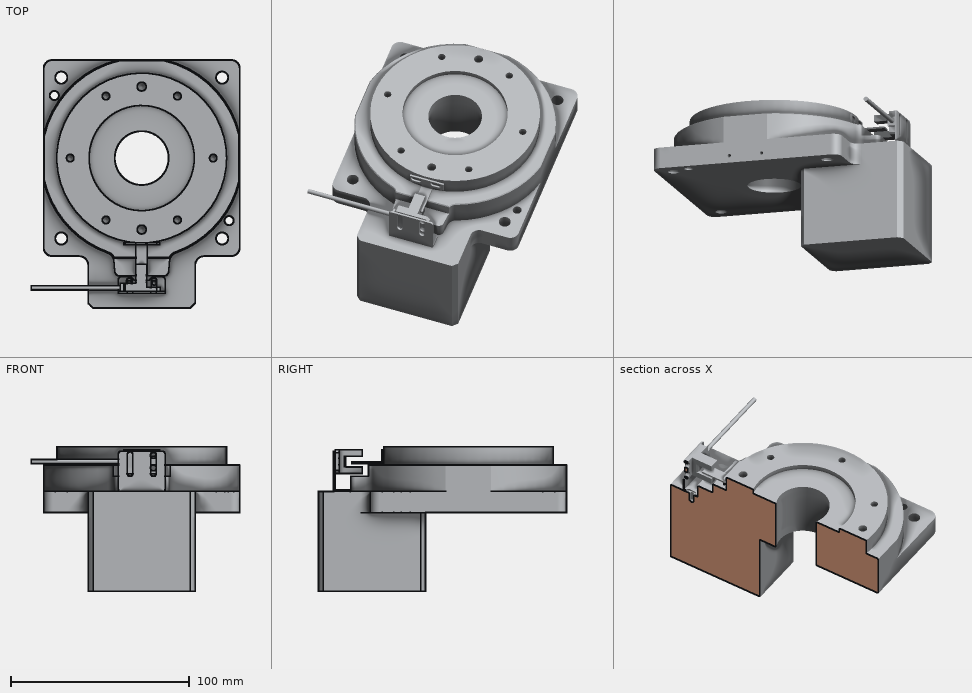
import cadquery as cq
import math


overall_x = 116.9
overall_y = 139.0

base_side = 110.0
base_height = 12.0
base_corner_radius = 5.0
neck_radius = 5.0

motor_side = 60.0
motor_front_y = base_side / 2 - overall_y
motor_depth = 44.0
motor_chamfer = 2.8

housing_radius = 56.5
housing_top = 27.0
housing_front_y = -56.0
housing_edge_chamfer = 0.5

nose_half_width = 15.5
nose_tip_half_width = 14.9
nose_front_y = -66.0
nose_top = 20.5
nose_root_radius = 5.0
nose_corner_radius = 2.8

table_radius = 47.5
table_top = 37.0
recess_diameter = 59.0
recess_depth = 3.0
bore_diameter = 30.0

mount_hole_diameter = 6.7
mount_hole_offset = 45.0
locating_hole_diameter = 5.0
locating_hole_x = 48.9
locating_hole_y = 35.0

table_hole_circle_radius = 40.0
table_hole_depth = 10.0
table_tap_diameter = 4.2
table_tap_angles = (0, 60, 120, 180, 240, 300)
table_dowel_diameter = 5.0
table_dowel_angles = (90, 270)

side_hole_diameter = 2.0
side_hole_depth = 4.2
side_hole_offset = 9.5
side_hole_z = 4.0

bracket_tap_diameter = 2.5
bracket_tap_depth = 5.5
bracket_tap_x = 7.0
bracket_tap_y = -69.9

drill_tip_angle = 118

sheet = 1.0
flag_width = 20.0
flag_top = 35.3
flag_wing_bottom = 30.0
flag_bottom = 27.4
flag_tongue_width = 6.4
flag_tip_y = -65.3
flag_bend_inner_radius = 0.4
flag_slot_length = 6.1
flag_slot_width = 2.9
flag_slot_z = 33.1
flag_slot_xs = (-6.3, 5.3)

bracket_width = 26.1
bracket_front_y = -75.6
bracket_back_y = -66.5
bracket_top = 34.5
bracket_corner_radius = 1.7
bracket_bend_radius = 0.4
foot_slot_width = 3.2
foot_slot_back_y = -67.3
foot_slot_length = 6.4
foot_notch_depth = 2.0
foot_notch_half_width = 6.1
wall_slot_offset = 6.5
wall_slot_width = 3.2
wall_slot_length = 13.6
wall_slot_top = 34.0

sensor_top = 35.3
sensor_bottom = 21.8
sensor_mid_z = (sensor_bottom + sensor_top) / 2
sensor_back_y = bracket_front_y + sheet
sensor_left_x = -10.1
sensor_right_x = 10.3
sensor_left_depth = 4.5
sensor_right_depth = 2.2
sensor_left_chamfer = 1.0
sensor_right_chamfer = 1.8
arm_left_x = -3.2
arm_right_x = 2.8
arm_tip_y = -59.4
arm_thickness = 3.8
gap_floor_y = -68.7
gap_floor_chamfer = 1.0
wing_hole_diameter = 3.3
wing_hole_spacing = 7.0
boss_left_x = -12.1
boss_bottom = 26.0
boss_top = 31.0
cable_diameter = 2.5
cable_end_x = base_side / 2 - overall_x
cable_y = -72.7
cable_z = 28.6


def box(x0, x1, y0, y1, z0, z1):
    """Box between two corners."""
    return cq.Workplane("XY").box(x1 - x0, y1 - y0, z1 - z0, centered=False).translate((x0, y0, z0))


def drilled_hole(diameter, depth):
    """Drilled blind hole along -Z from the origin, with a conical tip."""
    radius = diameter / 2
    tip = radius / math.tan(math.radians(drill_tip_angle / 2))
    profile = [(0, 0), (radius, 0), (radius, -depth), (0, -depth - tip)]
    return cq.Workplane("XZ").polyline(profile).close().revolve(360, (0, 0), (0, 1))


def make_base():
    half = base_side / 2
    plate = box(-half, half, -half, half, 0, base_height).edges("|Z").fillet(base_corner_radius)
    half = motor_side / 2
    motor = box(-half, half, motor_front_y, motor_front_y + motor_side, -motor_depth, base_height)
    motor = motor.edges("|Z").chamfer(motor_chamfer)
    base = plate.union(motor)
    for side in (-1, 1):
        base = base.union(neck_fillet(side))
    return base


def neck_fillet(side):
    """Concave fillet in the corner between the base edge and the motor."""
    x = side * motor_side / 2
    y = -base_side / 2
    outer_x = x + side * neck_radius
    corner = box(min(x, outer_x), max(x, outer_x), y - neck_radius, y, 0, base_height)
    relief = (
        cq.Workplane("XY").center(outer_x, y - neck_radius).circle(neck_radius).extrude(base_height)
    )
    return corner.cut(relief)


def make_housing():
    """Round housing trimmed to the base sides, with a lower nose towards the motor."""
    height = housing_top - base_height
    root_x = nose_half_width + nose_root_radius
    root_y = -math.sqrt((housing_radius + nose_root_radius) ** 2 - root_x**2)
    on_circle = housing_radius / (housing_radius + nose_root_radius)
    blend_x = root_x * on_circle
    blend_y = root_y * on_circle
    toward_origin = math.atan2(-root_y, -root_x)
    mid_angle = (toward_origin + math.pi) / 2
    mid_x = root_x + nose_root_radius * math.cos(mid_angle)
    mid_y = root_y + nose_root_radius * math.sin(mid_angle)
    outline = (
        cq.Workplane("XY", origin=(0, 0, base_height))
        .moveTo(-blend_x, blend_y)
        .threePointArc((0, housing_radius), (blend_x, blend_y))
        .threePointArc((mid_x, mid_y), (nose_half_width, root_y))
        .lineTo(nose_tip_half_width, nose_front_y)
        .lineTo(-nose_tip_half_width, nose_front_y)
        .lineTo(-nose_half_width, root_y)
        .threePointArc((-mid_x, mid_y), (-blend_x, blend_y))
        .close()
    )
    half = base_side / 2
    housing = outline.extrude(height).edges("|Z and <Y").fillet(nose_corner_radius)
    housing = housing.intersect(box(-half, half, nose_front_y, half, base_height, housing_top))
    step = box(-half, half, nose_front_y, housing_front_y, nose_top, housing_top)
    return housing.cut(step).faces(">Z").edges().chamfer(housing_edge_chamfer)


def cut_base_holes(stage):
    far = mount_hole_offset
    mounts = [(-far, -far), (-far, far), (far, -far), (far, far)]
    locators = [(-locating_hole_x, locating_hole_y), (locating_hole_x, -locating_hole_y)]
    plane = cq.Workplane("XY")
    stage = stage.cut(plane.pushPoints(mounts).circle(mount_hole_diameter / 2).extrude(base_height))
    stage = stage.cut(plane.pushPoints(locators).circle(locating_hole_diameter / 2).extrude(base_height))
    for y in (-side_hole_offset, side_hole_offset):
        hole = drilled_hole(side_hole_diameter, side_hole_depth).rotate((0, 0, 0), (0, 1, 0), -90)
        stage = stage.cut(hole.translate((-base_side / 2, y, side_hole_z)))
    for x in (-bracket_tap_x, bracket_tap_x):
        hole = drilled_hole(bracket_tap_diameter, bracket_tap_depth)
        stage = stage.cut(hole.translate((x, bracket_tap_y, base_height)))
    return stage


def cut_table_holes(stage):
    patterns = (
        (table_tap_diameter, table_tap_angles),
        (table_dowel_diameter, table_dowel_angles),
    )
    for diameter, angles in patterns:
        for angle in angles:
            hole = drilled_hole(diameter, table_hole_depth)
            hole = hole.translate((table_hole_circle_radius, 0, table_top))
            stage = stage.cut(hole.rotate((0, 0, 0), (0, 0, 1), angle))
    return stage


def make_stage():
    table = (
        cq.Workplane("XY").workplane(offset=housing_top).circle(table_radius).extrude(table_top - housing_top)
    )
    stage = make_base().union(make_housing()).union(table)
    recess = cq.Workplane("XY").workplane(offset=table_top).circle(recess_diameter / 2).extrude(-recess_depth)
    bore = cq.Workplane("XY").circle(bore_diameter / 2).extrude(table_top)
    stage = stage.cut(recess).cut(bore)
    return cut_table_holes(cut_base_holes(stage))


def make_flag():
    """Bent sheet: a slotted upright against the table rim and a tongue reaching to the sensor."""
    back_y = -table_radius
    face_y = back_y - sheet
    half = flag_tongue_width / 2
    tongue = box(-half, half, flag_tip_y, back_y, flag_bottom, flag_bottom + sheet)
    stem = box(-half, half, face_y, back_y, flag_bottom, flag_top)
    flag = tongue.union(stem).edges("|X and >Y and <Z").fillet(flag_bend_inner_radius + sheet)
    inner_bend = cq.selectors.NearestToPointSelector((0, face_y, flag_bottom + sheet))
    flag = flag.edges(inner_bend).fillet(flag_bend_inner_radius)
    half = flag_width / 2
    wing = box(-half, half, face_y, back_y, flag_wing_bottom, flag_top)
    slots = (
        cq.Workplane("XZ", origin=(0, back_y, flag_slot_z))
        .pushPoints([(x, 0) for x in flag_slot_xs])
        .slot2D(flag_slot_length, flag_slot_width)
        .extrude(sheet)
    )
    return flag.union(wing).cut(slots)


def make_bracket():
    """Sheet angle: a slotted foot on the motor top and a slotted wall carrying the sensor."""
    half = bracket_width / 2
    foot = box(-half, half, bracket_front_y, bracket_back_y, base_height, base_height + sheet)
    foot = foot.edges("|Z and >Y").fillet(bracket_corner_radius)
    wall = box(-half, half, bracket_front_y, bracket_front_y + sheet, base_height, bracket_top)
    wall = wall.edges("|Y and >Z").fillet(bracket_corner_radius)

    notch_floor_half = foot_notch_half_width - foot_notch_depth
    notch_floor_y = bracket_back_y - foot_notch_depth
    notch = (
        cq.Workplane("XY", origin=(0, 0, base_height))
        .moveTo(-foot_notch_half_width, bracket_back_y)
        .lineTo(foot_notch_half_width, bracket_back_y)
        .lineTo(notch_floor_half, notch_floor_y)
        .lineTo(-notch_floor_half, notch_floor_y)
        .close()
        .extrude(sheet)
    )
    foot_slots = (
        cq.Workplane("XY", origin=(0, foot_slot_back_y - foot_slot_length / 2, base_height))
        .pushPoints([(-bracket_tap_x, 0), (bracket_tap_x, 0)])
        .slot2D(foot_slot_length, foot_slot_width, 90)
        .extrude(sheet)
    )
    wall_slots = (
        cq.Workplane("XZ", origin=(0, bracket_front_y + sheet, wall_slot_top - wall_slot_length / 2))
        .pushPoints([(-wall_slot_offset, 0), (wall_slot_offset, 0)])
        .slot2D(wall_slot_length, wall_slot_width, 90)
        .extrude(sheet)
    )
    angle = foot.union(wall).edges("|X and <Y and <Z").fillet(bracket_bend_radius)
    return angle.cut(notch).cut(foot_slots).cut(wall_slots)


def make_sensor():
    """Slotted photo sensor with two arms, a mounting wing to each side and its cable."""
    left_front_y = sensor_back_y + sensor_left_depth
    right_front_y = sensor_back_y + sensor_right_depth
    gap_bottom = sensor_bottom + arm_thickness
    gap_top = sensor_top - arm_thickness

    left_wing = box(sensor_left_x, arm_left_x, sensor_back_y, left_front_y, sensor_bottom, sensor_top)
    left_wing = left_wing.edges("|Y and <X").chamfer(sensor_left_chamfer)

    right_wing = box(arm_right_x, sensor_right_x, sensor_back_y, right_front_y, sensor_bottom, sensor_top)
    right_wing = right_wing.edges("|Y and >X").chamfer(sensor_right_chamfer)
    wing_holes = (
        cq.Workplane("XZ", origin=(wall_slot_offset, sensor_back_y, sensor_mid_z))
        .pushPoints([(0, -wing_hole_spacing / 2), (0, wing_hole_spacing / 2)])
        .circle(wing_hole_diameter / 2)
        .extrude(-sensor_right_depth)
    )
    right_wing = right_wing.cut(wing_holes)

    arms = box(arm_left_x, arm_right_x, sensor_back_y, arm_tip_y, sensor_bottom, sensor_top)
    gap = box(arm_left_x, arm_right_x, gap_floor_y, arm_tip_y, gap_bottom, gap_top)
    arms = arms.cut(gap)
    for x in (arm_left_x, arm_right_x):
        floor_edge = cq.selectors.NearestToPointSelector((x, gap_floor_y, sensor_mid_z))
        arms = arms.edges(floor_edge).chamfer(gap_floor_chamfer)

    boss = box(boss_left_x, sensor_left_x, sensor_back_y, left_front_y, boss_bottom, boss_top)
    cable = (
        cq.Workplane("YZ", origin=(cable_end_x, cable_y, cable_z))
        .circle(cable_diameter / 2)
        .extrude(boss_left_x - cable_end_x)
    )
    return arms.union(left_wing).union(right_wing).union(boss).union(cable)


stage = make_stage()
flag = make_flag()
bracket = make_bracket()
sensor = make_sensor()

result = cq.Compound.makeCompound([stage.val(), flag.val(), bracket.val(), sensor.val()])